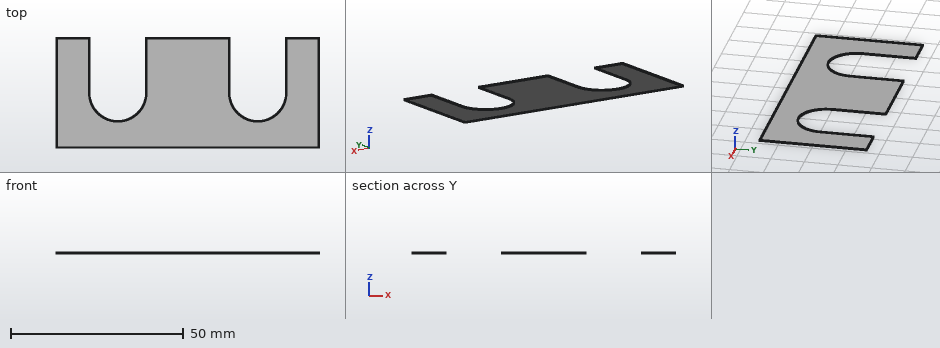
import cadquery as cq

INCH = 25.4
plate_length = 3.0 * INCH
plate_width = 1.25 * INCH
plate_thickness = 0.010 * INCH

slot_width = 0.65 * INCH
slot_spacing = 1.6 * INCH
slot_radius = slot_width / 2
slot_center_y = 0.0
plate_back_y = plate_width / 2


def make_plate():
    """Flat rectangular blank centred on X and Y, resting on Z = 0."""
    return cq.Workplane("XY").rect(plate_length, plate_width).extrude(plate_thickness)


def make_slot(center_x):
    """Through cutter for a round-ended slot open at the +Y edge."""
    left = center_x - slot_radius
    right = center_x + slot_radius
    return (
        cq.Workplane("XY")
        .moveTo(left, plate_back_y)
        .lineTo(left, slot_center_y)
        .threePointArc((center_x, slot_center_y - slot_radius), (right, slot_center_y))
        .lineTo(right, plate_back_y)
        .close()
        .extrude(plate_thickness)
    )


result = make_plate()
for side in (-1, 1):
    result = result.cut(make_slot(side * slot_spacing / 2))